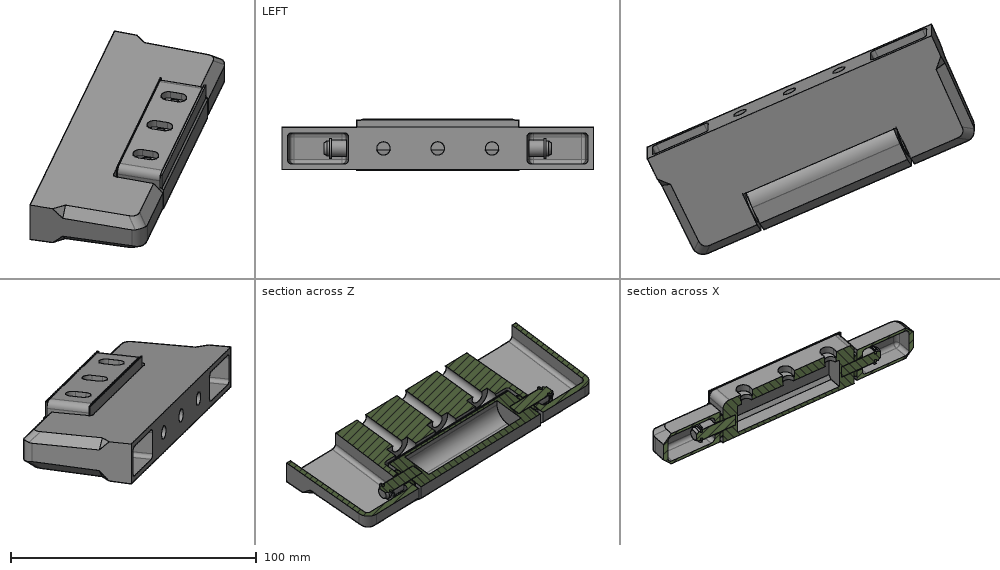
import cadquery as cq
import math


length = 127.0
depth = 48.0
height = 17.3
draft = math.tan(math.radians(1.0))
tip_half_length = length / 2 - depth * draft
tip_half_height = height / 2 - depth * draft

bevel = 4.0
bevel_tip_x = 9.5
bevel_start_x = 13.8
corner_radius = 5.1

pivot_x = 39.0
slot_wall_x = 26.8
slot_half_length = 34.3
slot_corner_radius = 1.5
sweep_radius = pivot_x - slot_wall_x

pocket_depth = 45.1
pocket_inner_y = 36.3
pocket_outer_y = 61.2
pocket_narrowing = 1.0
pocket_height = 12.7
pocket_radius = 1.8

screw_pitch = 22.1
screw_diameter = 5.5
screw_head_diameter = 11.4
screw_head_depth = 5.1

rocker_back_x = 28.0
rocker_half_length = 33.0
rocker_bottom_z = -9.0
rocker_top_z = 12.0
rocker_end_radius = 3.2
belly_radius = 8.4
belly_center_x = rocker_back_x + belly_radius
belly_center_z = rocker_bottom_z + belly_radius
nose_top_z = 4.5
nose_top_bevel = 0.8
nose_bottom_bevel = 4.3
rocker_wall = 2.2
rocker_end_wall = 7.6

strip_top_z = 11.5
back_strip_thickness = 0.5
front_strip_thickness = 0.8
back_ledge_z = belly_center_z
front_ledge_z = nose_top_z + nose_top_bevel
front_strip_x = depth - nose_top_bevel
rocker_upper_back_x = rocker_back_x + back_strip_thickness
rocker_upper_front_x = front_strip_x - front_strip_thickness

slot_pitch = 21.1
slot_x = 37.1
slot_length = 10.5
slot_width = 6.0
slot_depth = 3.2
slot_floor_z = rocker_top_z - slot_depth
slot_hole_diameter = 5.1

sleeve_diameter = 6.7
sleeve_end_y = 43.3
flange_diameter = 12.1
flange_edge_bevel = 0.4
flange_edge_bevel_length = 0.9
pin_diameter = 6.1
pin_inner_y = 26.8
pin_outer_y = 46.2
pin_tip_bevel_length = 1.1
pin_tip_diameter = 4.6
clip_thickness = 0.8
clip_diameter = 8.3
clip_groove_diameter = 4.8

SIDES = (1, -1)


def pivot_plane(y):
    """Plane across the pivot axis at a given Y, facing +Y."""
    return cq.Plane(origin=(pivot_x, y, 0), xDir=(1, 0, 0), normal=(0, 1, 0))


def pivot_cylinder(diameter, start_y, end_y):
    return cq.Workplane(pivot_plane(start_y)).circle(diameter / 2).extrude(end_y - start_y)


def mirrored_pair(body):
    """The +Y body and its copy at the other end of the pivot axis."""
    return [body, body.mirror("XZ")]


def centered_row(pitch):
    return [-pitch, 0, pitch]


def beveled_block():
    """Tapered block with every bevel and rounded corner, still without openings."""
    plan = (
        cq.Workplane("XY", origin=(0, 0, -height / 2))
        .polyline([
            (0, -length / 2),
            (depth, -tip_half_length),
            (depth, tip_half_length),
            (0, length / 2),
        ])
        .close()
        .extrude(height)
    )
    shoulder_x = depth - bevel
    shoulder_half_height = height / 2 - shoulder_x * draft
    profile = (
        cq.Workplane("XZ", origin=(0, length / 2, 0))
        .polyline([
            (0, -height / 2),
            (shoulder_x, -shoulder_half_height),
            (depth, bevel - tip_half_height),
            (depth, tip_half_height - bevel),
            (shoulder_x, shoulder_half_height),
            (0, height / 2),
        ])
        .close()
        .extrude(length)
    )
    block = plan.intersect(profile)
    for side_y in SIDES:
        for side_z in SIDES:
            block = block.cut(long_bevel(side_y, side_z))
    corner_edges = [
        edge for edge in block.edges().vals()
        if edge.Center().x > shoulder_x and abs(edge.Center().y) > tip_half_length - bevel
    ]
    upright_edges = [edge for edge in corner_edges if abs(edge.Center().z) < tip_half_height - bevel]
    slanted_edges = [edge for edge in corner_edges if abs(edge.Center().z) > tip_half_height - bevel]
    upright_rounded = block.newObject(upright_edges).fillet(corner_radius)
    slanted_rounded = block.newObject(slanted_edges).fillet(corner_radius)
    return upright_rounded.intersect(slanted_rounded)


def long_bevel(side_y, side_z):
    """Cutter for the bevel along one long edge of an end face, fading out toward the rear."""
    plane = cq.Plane(
        origin=(0, side_y * length / 2, side_z * height / 2),
        xDir=(1, 0, 0),
        normal=(0, -side_z, side_y),
    )
    edge_fall = math.sqrt(2) * draft
    leg = bevel / math.sqrt(2)
    return (
        cq.Workplane(plane)
        .polyline([
            (bevel_tip_x, -edge_fall * bevel_tip_x),
            (bevel_start_x, -(edge_fall * bevel_start_x + leg)),
            (depth, -(edge_fall * depth + leg)),
            (depth, leg),
            (bevel_tip_x, leg),
        ])
        .close()
        .extrude(2 * bevel, both=True)
    )


def make_housing():
    body = beveled_block().cut(rocker_slot()).cut(mounting_holes())
    sleeve_bore = pivot_cylinder(sleeve_diameter, slot_half_length - 1.3, pocket_inner_y + bevel)
    for cutter in mirrored_pair(end_pocket()) + mirrored_pair(sleeve_bore):
        body = body.cut(cutter)
    return body


def rocker_slot():
    """Opening at the +X side; its back wall is upright above the pivot and round below it."""
    low_z = -height / 2
    low_x = pivot_x - math.sqrt(sweep_radius**2 - low_z**2)
    middle = math.radians(180) + math.asin(-low_z / sweep_radius) / 2
    profile = (
        cq.Workplane("XZ", origin=(0, slot_half_length, 0))
        .moveTo(depth, height / 2)
        .lineTo(slot_wall_x, height / 2)
        .lineTo(slot_wall_x, 0)
        .threePointArc(
            (pivot_x + sweep_radius * math.cos(middle), sweep_radius * math.sin(middle)),
            (low_x, low_z),
        )
        .lineTo(depth, low_z)
        .close()
        .extrude(2 * slot_half_length)
    )
    plan = (
        cq.Workplane("XY", origin=(slot_wall_x, 0, 0))
        .box(depth - slot_wall_x, 2 * slot_half_length, height, centered=(False, True, True))
        .edges("|Z and <X").fillet(slot_corner_radius)
    )
    return plan.intersect(profile)


def mounting_holes():
    points = [(y, 0) for y in centered_row(screw_pitch)]
    shanks = cq.Workplane("YZ").pushPoints(points).circle(screw_diameter / 2).extrude(pivot_x)
    heads = (
        cq.Workplane("YZ", origin=(slot_wall_x - screw_head_depth, 0, 0))
        .pushPoints(points)
        .circle(screw_head_diameter / 2)
        .extrude(pivot_x - slot_wall_x)
    )
    return shanks.union(heads)


def end_pocket():
    pocket = (
        cq.Workplane("XY", origin=(0, 0, -pocket_height / 2))
        .polyline([
            (0, pocket_inner_y),
            (pocket_depth, pocket_inner_y + pocket_narrowing),
            (pocket_depth, pocket_outer_y - pocket_narrowing),
            (0, pocket_outer_y),
        ])
        .close()
        .extrude(pocket_height)
    )
    return pocket.edges("not <X").fillet(pocket_radius)


def with_belly(section, radius):
    """Continue a section from the back of the belly round to its bottom."""
    diagonal = radius * math.sqrt(0.5)
    return section.threePointArc(
        (belly_center_x - diagonal, belly_center_z - diagonal),
        (belly_center_x, belly_center_z - radius),
    )


def rocker_bar():
    section = (
        cq.Workplane("XZ", origin=(0, rocker_half_length, 0))
        .moveTo(rocker_upper_back_x, rocker_top_z)
        .lineTo(rocker_upper_back_x, back_ledge_z)
        .lineTo(rocker_back_x, back_ledge_z)
    )
    bar = (
        with_belly(section, belly_radius)
        .lineTo(depth - nose_bottom_bevel, rocker_bottom_z)
        .lineTo(depth, rocker_bottom_z + nose_bottom_bevel)
        .lineTo(depth, nose_top_z)
        .lineTo(front_strip_x, front_ledge_z)
        .lineTo(rocker_upper_front_x, front_ledge_z)
        .lineTo(rocker_upper_front_x, rocker_top_z)
        .close()
        .extrude(2 * rocker_half_length)
    )
    return bar.faces(">Z").edges("|X").fillet(rocker_end_radius)


def rocker_cavity():
    """Closed hollow inside the rocker, one wall thickness in from the belly, bottom and nose."""
    top_z = slot_floor_z - rocker_wall
    half_length = rocker_half_length - rocker_end_wall
    cavity_front_x = rocker_upper_front_x - rocker_wall
    cavity_bevel_x = depth - nose_bottom_bevel - rocker_wall * math.tan(math.radians(22.5))
    section = (
        cq.Workplane("XZ", origin=(0, half_length, 0))
        .moveTo(rocker_back_x + rocker_wall, top_z)
        .lineTo(rocker_back_x + rocker_wall, belly_center_z)
    )
    return (
        with_belly(section, belly_radius - rocker_wall)
        .lineTo(cavity_bevel_x, rocker_bottom_z + rocker_wall)
        .lineTo(cavity_front_x, cavity_front_x - cavity_bevel_x + rocker_bottom_z + rocker_wall)
        .lineTo(cavity_front_x, top_z)
        .close()
        .extrude(2 * half_length)
    )


def make_rocker():
    points = [(slot_x, y) for y in centered_row(slot_pitch)]
    slots = (
        cq.Workplane("XY", origin=(0, 0, slot_floor_z))
        .pushPoints(points)
        .slot2D(slot_length, slot_width)
        .extrude(slot_depth)
    )
    holes = cq.Workplane("XY").pushPoints(points).circle(slot_hole_diameter / 2).extrude(slot_floor_z)
    rocker = rocker_bar().cut(rocker_cavity()).cut(slots).cut(holes)
    for bore in mirrored_pair(pivot_cylinder(pin_diameter, pin_inner_y, rocker_half_length)):
        rocker = rocker.cut(bore)
    return rocker


def make_strip(start_x, thickness, ledge_z):
    return (
        cq.Workplane("XY", origin=(start_x, 0, ledge_z))
        .box(thickness, 2 * rocker_half_length, strip_top_z - ledge_z, centered=(False, True, False))
    )


def make_sleeve():
    """Flanged bushing: the flange fills the gap beside the rocker, the tube runs through the wall."""
    flange = (
        pivot_cylinder(flange_diameter, rocker_half_length, slot_half_length)
        .faces("<Y").edges().chamfer(flange_edge_bevel, flange_edge_bevel_length)
    )
    tube = pivot_cylinder(sleeve_diameter, rocker_half_length, sleeve_end_y)
    return flange.union(tube).cut(pivot_cylinder(pin_diameter, rocker_half_length, sleeve_end_y))


def make_pin():
    tip_bevel = (pin_diameter - pin_tip_diameter) / 2
    pin = (
        pivot_cylinder(pin_diameter, pin_inner_y, pin_outer_y)
        .faces(">Y").edges().chamfer(pin_tip_bevel_length, tip_bevel)
    )
    return pin.cut(make_clip())


def make_clip():
    clip_end_y = sleeve_end_y + clip_thickness
    ring = pivot_cylinder(clip_diameter, sleeve_end_y, clip_end_y)
    return ring.cut(pivot_cylinder(clip_groove_diameter, sleeve_end_y, clip_end_y))


housing = make_housing()
rocker = make_rocker()
back_strip = make_strip(rocker_back_x, back_strip_thickness, back_ledge_z)
front_strip = make_strip(rocker_upper_front_x, front_strip_thickness, front_ledge_z)
sleeves = mirrored_pair(make_sleeve())
pins = mirrored_pair(make_pin())
clips = mirrored_pair(make_clip())

result = cq.Compound.makeCompound([
    body.val() for body in [housing, rocker, back_strip, front_strip, *sleeves, *pins, *clips]
])